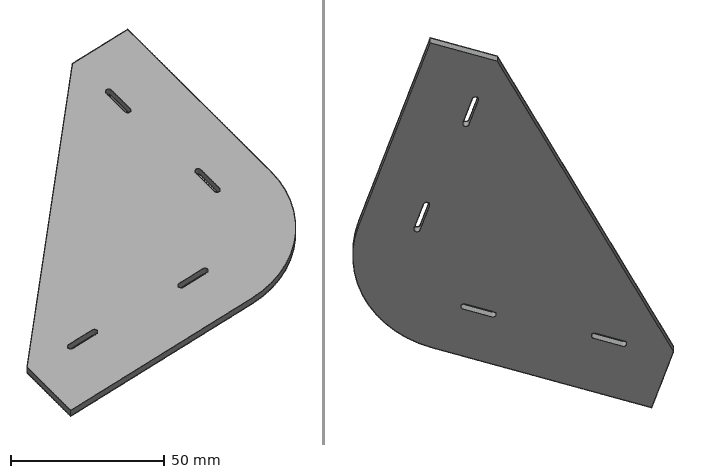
import cadquery as cq

side = 112.8
thickness = 3.0
end_width = 23.0
corner_radius = 37.5

slot_length = 12.0
slot_width = 2.0
inner_slot_along = 47.4
inner_slot_inset = 18.5
outer_slot_along = 91.4
outer_slot_inset = 20.9

half = side / 2


def make_plate():
    """Square plate with one rounded corner and the opposite corner cut off."""
    outline = [
        (-half, half),
        (half, half),
        (half, -half),
        (half - end_width, -half),
        (-half, half - end_width),
    ]
    plate = cq.Workplane("XY").polyline(outline).close().extrude(thickness)
    return plate.edges("|Z").edges(">(1, 1, 0)").fillet(corner_radius)


def cut_slot_pair(plate, along, inset):
    """Cut one slot beside the +Y edge and its mirror image beside the +X edge."""
    near = half - inset
    far = half - along
    for x, y, angle in [(far, near, 0), (near, far, 90)]:
        slot = (
            cq.Workplane("XY")
            .center(x, y)
            .slot2D(slot_length, slot_width, angle)
            .extrude(thickness)
        )
        plate = plate.cut(slot)
    return plate


result = make_plate()
result = cut_slot_pair(result, inner_slot_along, inner_slot_inset)
result = cut_slot_pair(result, outer_slot_along, outer_slot_inset)